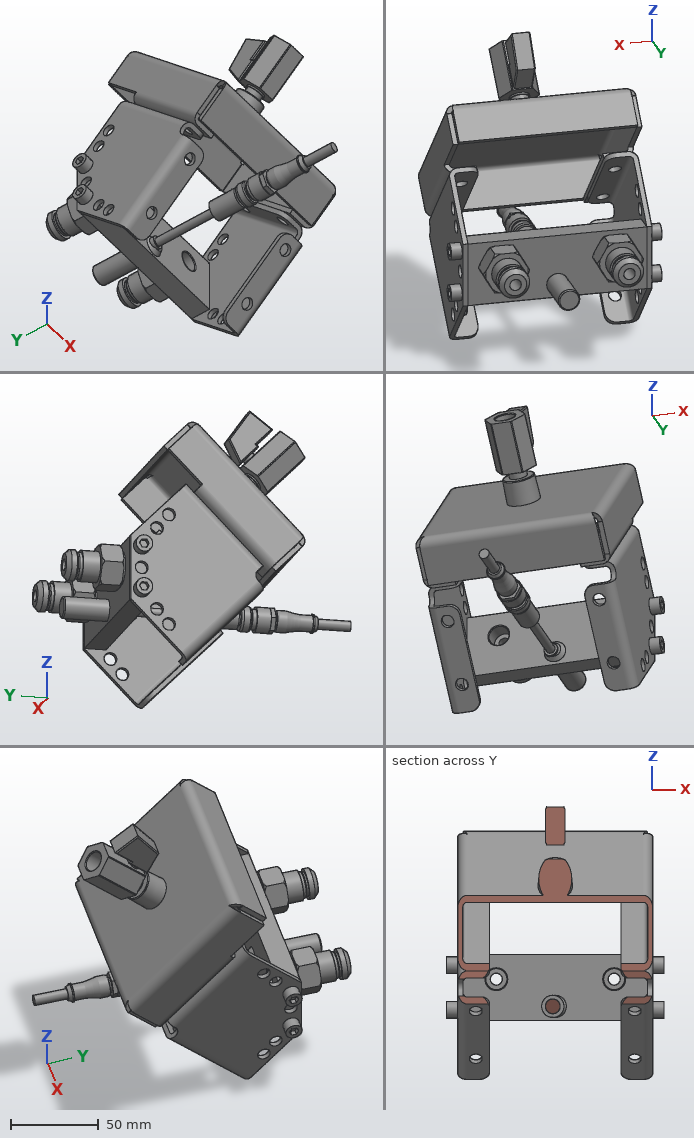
import cadquery as cq
import math

TILT = math.sqrt(0.5)
TILTED = cq.Plane(origin=(0, 0, 0), xDir=(1, 0, 0), normal=(0, -TILT, TILT))

half_width = 55.5
sheet = 3.0
bend_radius = 5.5
flange_width = 18.3

bracket_length = 74.0
bracket_back = 85.8
notch_size = 10.0
notch_radius = 4.0
flange_corner_radius = 6.2
hole_diameter = 7.4
flange_hole_inset = 10.4
flange_hole_places = (19.0, 57.3)
spare_holes = ((70.5, 24.0), (63.5, 32.4))

block_depth = 12.7
block_half_height = 18.8
screw_spacing = 25.3
screw_head_diameter = 9.7
screw_end = 62.0
socket_size = 4.7
socket_depth = 3.0

fitting_offset = 33.51
fitting_height = 4.7
fitting_bore_radius = 3.3
nut_flats = 23.7
nut_start = 1.5
nut_end = 14.5
nut_chamfer = 1.2
port_radius = 6.0
port_depth = 10.5
port_chamfer = 0.5
fitting_length = 33.8
fitting_root = 1.8
seat_radius = 9.7
stem_radius = 9.0
groove_radius = 7.7
waist_radius = 7.2
tip_radius = 6.5
groove_start = 24.5
groove_taper_start = 26.2
waist_start = 27.0
ring_start = 28.0
ring_end = 31.1

sensor_height = -10.7
cable_offset = -1.4
barrel_radius = 6.3
barrel_length = 26.5
barrel_chamfer = 0.7
nose_radius = 4.2
nose_length = 2.6
coupling_flats = 13.2
coupling_start = 8.5
coupling_end = 11.17
cable_end = 56.3
cable_radius = 3.0
gland_radius = 4.0
gland_length = 3.9
lead_radius = 2.6
plug_start = 28.1

plug_outline = (
    (10.2, barrel_radius),
    (10.2, 4.2),
    (8.8, 4.2),
    (8.8, 6.9),
    (7.4, 7.4),
    (3.7, 7.4),
    (2.8, 6.9),
    (2.8, 5.3),
    (2.1, 5.3),
    (2.1, 6.0),
    (-0.4, 6.0),
    (-0.4, 7.4),
    (-coupling_start, 7.4),
    (-coupling_start, 4.4),
    (-12.5, 4.4),
    (-12.5, 6.0),
    (-13.9, 6.3),
    (-18.3, 6.3),
    (-22.0, 5.5),
    (-23.0, 5.3),
    (-26.4, 4.7),
    (-33.6, 4.7),
    (-33.6, 5.5),
    (-34.5, 5.5),
    (-34.5, 5.1),
    (-36.8, 4.0),
    (-36.8, cable_radius),
)

cover_low_end = 3.0
cover_high_end = 98.5
cover_height = 30.5
low_wall_bottom = 2.8
corner_gap = 0.09
cover_flange_high_end = 67.5

valve_along = 50.7
boss_base_radius = 9.9
boss_top_radius = 9.3
boss_top = 45.0
boss_chamfer = 0.5
neck_radius = 5.3
collar_radius = 6.0
collar_bottom = 49.0
valve_flats = 21.0
valve_corner_flats = 23.7
valve_bottom = 50.1
valve_top = 81.1
bore_radius = 5.8
bore_depth = 24.6
bore_chamfer = 0.5

lever_outline = (
    (62.8, 50.1),
    (62.8, 65.5),
    (64.5, 65.5),
    (64.5, 78.8),
    (81.3, 76.3),
    (77.5, 55.0),
)
lever_half_thickness = 5.6
lever_chamfer = 0.7
lever_stem_radius = 3.7
lever_stem_height = 58.2
lever_stem_root = 59.5

inner_half_width = half_width - sheet
block_front = bracket_back - block_depth
screw_y = bracket_back - block_depth / 2
screw_heights = (-screw_spacing / 2, screw_spacing / 2)


def box(x_range, y_range, z_range):
    """Axis-aligned box between pairs of limits."""
    sizes = [high - low for low, high in (x_range, y_range, z_range)]
    corner = (x_range[0], y_range[0], z_range[0])
    return cq.Workplane().box(*sizes, centered=False).translate(corner)


def turned(profile):
    """Solid of revolution about the Y axis from (y, radius) points."""
    points = [(0, profile[0][0])]
    points += [(radius, y) for y, radius in profile]
    points.append((0, profile[-1][0]))
    return cq.Workplane("XY").polyline(points).close().revolve(360, (0, 0), (0, 1))


def hexagon_along_y(flats, start, end):
    """Hexagonal prism about the Y axis with two corners on the X axis."""
    across_corners = flats / math.cos(math.pi / 6)
    return cq.Workplane("XZ", origin=(0, end, 0)).polygon(6, across_corners).extrude(end - start)


def cylinder_x(diameter, y, z, start, end):
    """Cylinder parallel to the X axis."""
    return cq.Workplane("YZ", origin=(start, y, z)).circle(diameter / 2).extrude(end - start)


def bent_flange(start, end, corners):
    """Bend and flange at the +X side, in the tilted frame: outer face at height 0, bend ending at
    height -bend_radius, and the given flange corners rounded."""
    free_edge = half_width - flange_width
    flange = (
        cq.Workplane("XZ", origin=(0, end, 0))
        .moveTo(free_edge, 0)
        .lineTo(half_width - bend_radius, 0)
        .radiusArc((half_width, -bend_radius), bend_radius)
        .lineTo(inner_half_width, -bend_radius)
        .radiusArc((half_width - bend_radius, -sheet), -(bend_radius - sheet))
        .lineTo(free_edge, -sheet)
        .close()
        .extrude(end - start)
    )
    if corners:
        flange = flange.edges("|Z and <X").fillet(flange_corner_radius)
    return flange


def bracket_flange():
    """Bracket flange on the face that touches the cover, with its two holes."""
    flange = bent_flange(notch_size, bracket_length, corners=True)
    hole_x = half_width - flange_hole_inset
    places = [(hole_x, along) for along in flange_hole_places]
    holes = cq.Workplane("XY").pushPoints(places).circle(hole_diameter / 2).extrude(-sheet)
    return flange.cut(holes)


def bracket(side):
    """Bracket at the +X side (side = 1) or its mirror image at the -X side (side = -1)."""
    back_corner = bracket_length - bracket_back / TILT
    plate = (
        cq.Workplane("YZ", origin=(inner_half_width, 0, 0))
        .moveTo(bend_radius, -bend_radius)
        .lineTo(bracket_length, -bend_radius)
        .lineTo(bracket_length, back_corner)
        .lineTo(-back_corner, -bracket_length)
        .lineTo(bend_radius, -bracket_length)
        .close()
        .extrude(sheet)
    )
    notch = box((inner_half_width, half_width), (0, notch_size), (-notch_size, 0))
    notch = notch.edges("|X and >Y and <Z").fillet(notch_radius)
    upper_flange = bracket_flange()
    lower_flange = upper_flange.mirror(cq.Vector(0, 1, 1))
    tilted = plate.cut(notch).union(upper_flange).union(lower_flange)
    body = cq.Workplane(tilted.val().moved(TILTED.location))
    hole_places = [(screw_y, 0)]
    hole_places += [(screw_y, z) for z in screw_heights]
    hole_places += [(y, sign * z) for y, z in spare_holes for sign in (-1, 1)]
    for y, z in hole_places:
        body = body.cut(cylinder_x(hole_diameter, y, z, inner_half_width, half_width))
    if side < 0:
        body = body.mirror("YZ")
    return body


def screw(z):
    """Socket head screw at the +X end of the block."""
    shank = cylinder_x(hole_diameter, screw_y, z, inner_half_width - sheet, half_width)
    head = cylinder_x(screw_head_diameter, screw_y, z, half_width, screw_end)
    socket = (
        cq.Workplane("YZ", origin=(screw_end, screw_y, z))
        .polygon(6, socket_size / math.cos(math.pi / 6))
        .extrude(-socket_depth)
    )
    return shank.union(head).cut(socket)


def fitting():
    """Pipe fitting, with Y = 0 at the back face of the block."""
    stem = turned((
        (-fitting_root, seat_radius),
        (nut_start, seat_radius),
        (nut_start, stem_radius),
        (groove_start, stem_radius),
        (groove_start, groove_radius),
        (groove_taper_start, groove_radius),
        (waist_start, waist_radius),
        (ring_start, waist_radius),
        (ring_start, stem_radius),
        (ring_end, stem_radius),
        (fitting_length, tip_radius),
    ))
    rim = nut_flats / 2 / math.cos(math.pi / 6)
    envelope = turned((
        (nut_start, rim - nut_chamfer),
        (nut_start + nut_chamfer, rim),
        (nut_end - nut_chamfer, rim),
        (nut_end, rim - nut_chamfer),
    ))
    nut = hexagon_along_y(nut_flats, nut_start, nut_end).intersect(envelope)
    return stem.union(nut)


def fitting_passage():
    """Port in the front of the block and the bore through the fitting, with Y = 0 at the back face."""
    port_floor = port_depth - block_depth
    return turned((
        (-block_depth, port_radius + port_chamfer),
        (port_chamfer - block_depth, port_radius),
        (port_floor, port_radius),
        (port_floor, fitting_bore_radius),
        (fitting_length, fitting_bore_radius),
    ))


def sensor():
    """Sensor barrel through the block, its thin lead, and the plug and cable in front."""
    barrel_back = bracket_back + barrel_length
    barrel = turned((
        (block_front - nose_length, nose_radius),
        (block_front, barrel_radius),
        (barrel_back - barrel_chamfer, barrel_radius),
        (barrel_back, barrel_radius - barrel_chamfer),
    )).translate((0, 0, sensor_height))
    lead = turned((
        (block_front, gland_radius),
        (block_front - gland_length, gland_radius),
        (block_front - gland_length, lead_radius),
        (plug_start, lead_radius),
    ))
    plug = turned(((plug_start, barrel_radius), *plug_outline, (-cable_end, cable_radius)))
    coupling = hexagon_along_y(coupling_flats, -coupling_end, -coupling_start)
    lead_and_plug = lead.union(plug).union(coupling).translate((cable_offset, 0, sensor_height))
    return barrel.union(lead_and_plug)


def block():
    """Cross block with its screws, fittings and sensor."""
    body = box(
        (-inner_half_width, inner_half_width),
        (block_front, bracket_back),
        (-block_half_height, block_half_height),
    )
    for z in screw_heights:
        body = body.union(screw(z)).union(screw(z).mirror("YZ"))
    for x in (-fitting_offset, fitting_offset):
        place = (x, bracket_back, fitting_height)
        body = body.union(fitting().translate(place)).cut(fitting_passage().translate(place))
    return body.union(sensor())


def cover_shell():
    """Sheet metal pan of the cover, open below and at its corners, in the tilted frame."""
    across = (-half_width, half_width)
    along = (cover_low_end, cover_high_end)
    outside = box(across, along, (bend_radius, cover_height)).edges(">Z").fillet(bend_radius)
    inside = box(
        (-inner_half_width, inner_half_width),
        (cover_low_end + sheet, cover_high_end - sheet),
        (0, cover_height - sheet),
    )
    inside = inside.edges(">Z").fillet(bend_radius - sheet)
    low_wall = box(
        (-inner_half_width, inner_half_width),
        (cover_low_end, cover_low_end + sheet),
        (low_wall_bottom, bend_radius),
    )
    shell = outside.cut(inside).union(low_wall)
    middle = (cover_low_end + cover_high_end) / 2
    relief = corner_relief()
    for corner in (relief, relief.mirror("XZ", (0, middle, 0))):
        shell = shell.cut(corner).cut(corner.mirror("YZ"))
    return shell


def corner_relief():
    """Cutter that separates the walls at the low +X corner and slants the ends of the two bends."""
    size = sheet + corner_gap
    wall_gap = box(
        (half_width - size, half_width),
        (cover_low_end, cover_low_end + size),
        (0, cover_height),
    )
    bend_gap = (
        cq.Workplane("XY", origin=(half_width, cover_low_end, cover_height - bend_radius))
        .lineTo(0, size)
        .lineTo(-bend_radius, bend_radius)
        .lineTo(-size, 0)
        .close()
        .extrude(bend_radius)
    )
    return wall_gap.union(bend_gap)


def valve():
    """Boss, neck and hexagonal body with a blind bore, in the tilted frame."""
    axis = cq.Workplane("XY", origin=(0, valve_along, 0))
    boss = (
        cq.Workplane("XZ", origin=(0, valve_along, 0))
        .moveTo(0, cover_height - sheet)
        .lineTo(boss_base_radius, cover_height - sheet)
        .lineTo(boss_top_radius, boss_top - boss_chamfer)
        .lineTo(boss_top_radius - boss_chamfer, boss_top)
        .lineTo(0, boss_top)
        .close()
        .revolve(360, (0, 0), (0, 1))
    )
    neck = axis.workplane(offset=boss_top).circle(neck_radius).extrude(valve_bottom - boss_top)
    collar = axis.workplane(offset=collar_bottom).circle(collar_radius)
    collar = collar.extrude(valve_bottom - collar_bottom)
    base = axis.workplane(offset=valve_bottom)
    length = valve_top - valve_bottom
    body = base.polygon(6, valve_flats / math.cos(math.pi / 6)).extrude(length)
    corner_flats = base.transformed(rotate=(0, 0, 30))
    corner_flats = corner_flats.polygon(6, valve_corner_flats / math.cos(math.pi / 6)).extrude(length)
    bore = axis.workplane(offset=valve_top).circle(bore_radius).extrude(-bore_depth)
    body = body.intersect(corner_flats).cut(bore)
    body = body.faces(">Z").edges("%CIRCLE").chamfer(bore_chamfer)
    return boss.union(neck).union(collar).union(body)


def lever():
    """Lever and the stem that joins it to the valve, in the tilted frame."""
    handle = (
        cq.Workplane("YZ")
        .polyline(lever_outline)
        .close()
        .extrude(lever_half_thickness, both=True)
        .faces("<X or >X")
        .chamfer(lever_chamfer)
    )
    stem_length = lever_outline[0][0] + lever_chamfer - lever_stem_root
    stem = (
        cq.Workplane("XZ", origin=(0, lever_stem_root, lever_stem_height))
        .circle(lever_stem_radius)
        .extrude(-stem_length)
    )
    return handle.union(stem)


def cover():
    """Cover with its valve and lever, and the flanges that rest on the brackets."""
    flange = bent_flange(cover_low_end + sheet, cover_flange_high_end, corners=False).mirror("XY")
    body = cover_shell().union(flange).union(flange.mirror("YZ"))
    body = body.union(valve()).union(lever())
    return body.val().moved(TILTED.location)


brackets = [bracket(side) for side in (-1, 1)]

result = cq.Compound.makeCompound([*[body.val() for body in brackets], block().val(), cover()])